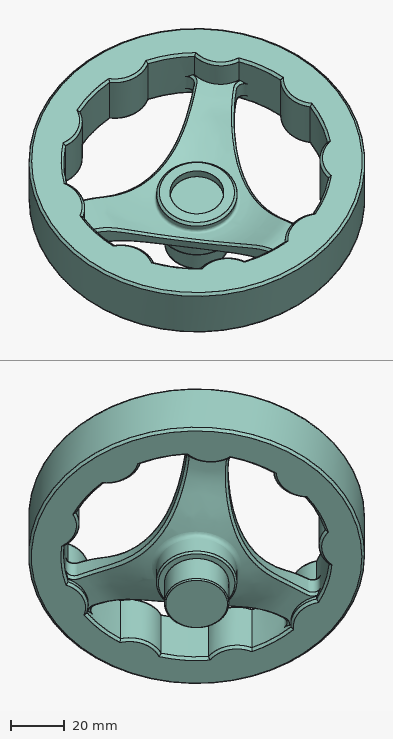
import cadquery as cq
import math

total_height = 51.0
rim_height = 24.0
hub_bottom = 12.0
hub_top = 31.5

rim_radius = 62.5
rim_bore_radius = 49.5
rim_chamfer = 1.0
grip_count = 9
grip_radius = 13.0
grip_circle_radius = 58.8

web_edge_radius = 52.5
web_level_radius = 50.0
web_hollow_radius = 21.2
web_flank_radius = 33.1
web_top_center = 25.4
web_top_hollow = 28.8
web_top_flank = 34.2
web_top_level = 38.8
web_bottom_center = 20.2
web_bottom_hollow = 23.1
web_bottom_flank = 27.2
web_bottom_level = 29.5

spoke_count = 3
window_arc_radius = 70.0
window_arc_offset = 90.0
window_corner_radius = 3.0
window_chamfer = 1.0

hub_radius = 15.0
hub_top_chamfer = 1.0
hub_bottom_chamfer = 0.8
hub_top_fillet = 1.0
hub_bottom_fillet = 2.0
bore_radius = 10.0

shaft_radius = 12.0
shaft_chamfer = 0.5
recess_depth = 3.5

rim_bottom = total_height - rim_height


def cylinder(radius, bottom, top):
    return cq.Workplane("XY").workplane(offset=bottom).circle(radius).extrude(top - bottom)


def dish(center_height, hollow_height, flank_height, level_height):
    """Solid below a dished surface that rises from the axis and levels out at the rim."""
    level = (1, 0)
    return (
        cq.Workplane("XZ")
        .lineTo(0, center_height)
        .spline(
            [
                (web_hollow_radius, hollow_height),
                (web_flank_radius, flank_height),
                (web_level_radius, level_height),
            ],
            tangents=[level, level],
            includeCurrent=True,
        )
        .lineTo(web_edge_radius, level_height)
        .lineTo(web_edge_radius, 0)
        .close()
        .revolve(360, (0, 0, 0), (0, 1, 0))
    )


def make_window():
    """Cutter for one window, centred on the -X side: two large arcs with rounded corners."""
    bore_reach = rim_bore_radius - window_corner_radius
    arc_reach = window_arc_radius - window_corner_radius
    corner_x = -(window_arc_offset**2 + bore_reach**2 - arc_reach**2) / (2 * window_arc_offset)
    corner_y = math.sqrt(bore_reach**2 - corner_x**2)
    bore_angle = math.atan2(corner_y, corner_x)
    arc_angle = math.atan2(corner_y, corner_x + window_arc_offset)
    corner_angle = (bore_angle + arc_angle) / 2

    bore_x = rim_bore_radius * math.cos(bore_angle)
    bore_y = rim_bore_radius * math.sin(bore_angle)
    arc_x = window_arc_radius * math.cos(arc_angle) - window_arc_offset
    arc_y = window_arc_radius * math.sin(arc_angle)
    round_x = corner_x + window_corner_radius * math.cos(corner_angle)
    round_y = corner_y + window_corner_radius * math.sin(corner_angle)
    return (
        cq.Workplane("XY")
        .moveTo(bore_x, bore_y)
        .threePointArc((-rim_bore_radius, 0), (bore_x, -bore_y))
        .threePointArc((round_x, -round_y), (arc_x, -arc_y))
        .threePointArc((window_arc_radius - window_arc_offset, 0), (arc_x, arc_y))
        .threePointArc((round_x, round_y), (bore_x, bore_y))
        .close()
        .extrude(total_height)
    )


def is_window_wall(face):
    """True for faces off the axis; the hub and the outer edge are centred on it."""
    return math.hypot(face.Center().x, face.Center().y) > window_chamfer


def hub_seam(bottom, top):
    """Selects the edge round the hub that lies between two heights."""
    reach = hub_radius + 0.1
    return cq.selectors.BoxSelector((-reach, -reach, bottom), (reach, reach, top), boundingbox=True)


def make_web():
    """Web and hub: dished disc, filleted hub, then the windows with chamfered edges."""
    top = dish(web_top_center, web_top_hollow, web_top_flank, web_top_level)
    bottom = dish(web_bottom_center, web_bottom_hollow, web_bottom_flank, web_bottom_level)
    web = top.cut(bottom).union(cylinder(hub_radius, hub_bottom, hub_top))
    web = web.edges(hub_seam(web_top_center, hub_top - hub_top_chamfer)).fillet(hub_top_fillet)
    web = web.edges(hub_seam(web_bottom_center, web_top_center)).fillet(hub_bottom_fillet)
    web = web.faces("<Z").edges().chamfer(hub_bottom_chamfer)
    web = web.edges(hub_seam(hub_top - hub_top_chamfer, hub_top + hub_top_chamfer)).chamfer(hub_top_chamfer)

    window = make_window()
    for i in range(spoke_count):
        web = web.cut(window.rotate((0, 0, 0), (0, 0, 1), i * 360 / spoke_count))
    walls = web.faces("%CYLINDER").filter(is_window_wall)
    return walls.edges("not |Z").chamfer(window_chamfer)


def frustum(bottom_radius, top_radius, bottom, top):
    cone = cq.Solid.makeCone(bottom_radius, top_radius, top - bottom, cq.Vector(0, 0, bottom))
    return cq.Workplane(cone)


def without_grips(opening, grip):
    """Rim opening with the finger grips left standing round it."""
    grip = grip.translate((grip_circle_radius, 0, 0))
    for i in range(grip_count):
        opening = opening.cut(grip.rotate((0, 0, 0), (0, 0, 1), i * 360 / grip_count))
    return opening


def make_rim():
    opening = without_grips(
        cylinder(rim_bore_radius, rim_bottom, total_height),
        cylinder(grip_radius, rim_bottom, total_height),
    )
    wide_bore = rim_bore_radius + rim_chamfer
    slim_grip = grip_radius - rim_chamfer
    top_edge = total_height - rim_chamfer
    bottom_edge = rim_bottom + rim_chamfer
    top_flare = without_grips(
        frustum(rim_bore_radius, wide_bore, top_edge, total_height),
        frustum(grip_radius, slim_grip, top_edge, total_height),
    )
    bottom_flare = without_grips(
        frustum(wide_bore, rim_bore_radius, rim_bottom, bottom_edge),
        frustum(slim_grip, grip_radius, rim_bottom, bottom_edge),
    )
    ring = cylinder(rim_radius, rim_bottom, total_height).faces("<Z or >Z").edges().chamfer(rim_chamfer)
    return ring.cut(opening).cut(top_flare).cut(bottom_flare)


def make_handwheel():
    wheel = make_rim().union(make_web())
    return wheel.cut(cylinder(bore_radius, hub_bottom, hub_top))


def make_shaft():
    """Stub shaft: its journal fills the hub bore up to the recess, its shoulder meets the hub."""
    stub = cylinder(shaft_radius, 0, hub_bottom).faces("<Z").edges().chamfer(shaft_chamfer)
    return stub.union(cylinder(bore_radius, hub_bottom, hub_top - recess_depth))


handwheel = make_handwheel()
shaft = make_shaft()

result = cq.Compound.makeCompound([handwheel.val(), shaft.val()])